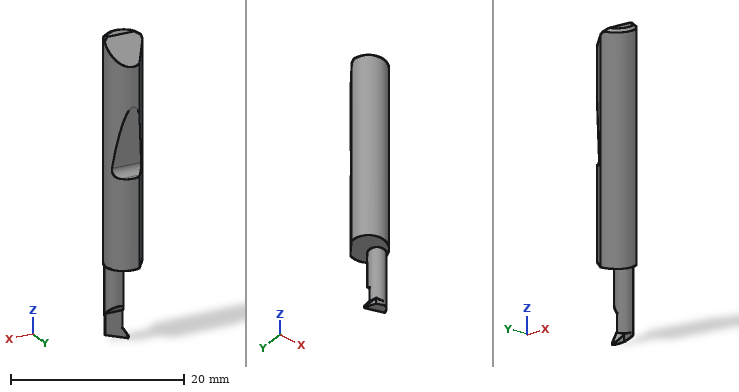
import cadquery as cq

total_length = 38.1
shank_radius = 2.38
shank_bottom = 9.55

end_chamfer_height = 0.4
end_chamfer_width = 0.45
flat_angle = 144.0
flat_distance = 2.02
bevel_edge_y = -0.6
notch_start = 30.05
notch_length = 8.88
notch_tilt = 9.3
notch_corner_radius = 1.0

neck_radius = 1.125
neck_x = shank_radius - neck_radius
neck_relief_top = 4.75

head_height = 1.37
tip_x = -0.57
nose = (-0.7, 0.2)
nose_back = (-0.55, -0.3)
heel_corner = (0.23, -1.05)
flank_slope = 1.6
bottom_slope = 0.33
clearance = (0.45, -1.15, 0.3)

big = 4 * shank_radius
bottom_end = (tip_x + big, bottom_slope * big)


def make_shank():
    shank = (
        cq.Workplane("XY", origin=(0, 0, shank_bottom))
        .circle(shank_radius)
        .extrude(total_length - shank_bottom)
        .faces(">Z")
        .chamfer(end_chamfer_height, end_chamfer_width)
    )

    flat_cutter = (
        cq.Workplane("XY")
        .box(big, big, 2 * total_length, centered=(False, True, True))
        .translate((flat_distance, 0, 0))
        .rotate((0, 0, 0), (0, 0, 1), flat_angle)
    )

    bevel_cutter = (
        cq.Workplane("YZ")
        .moveTo(bevel_edge_y, total_length)
        .lineTo(bevel_edge_y + big, total_length - big)
        .lineTo(bevel_edge_y + big, total_length)
        .close()
        .extrude(big, both=True)
    )

    notch_cutter = (
        cq.Workplane("XY")
        .box(big, big, notch_length, centered=(True, False, False))
        .translate((0, 0, -notch_length))
        .edges("<Y and <Z")
        .fillet(notch_corner_radius)
        .rotate((0, 0, 0), (1, 0, 0), -notch_tilt)
        .translate((0, shank_radius, notch_start))
    )
    return shank.cut(flat_cutter).cut(bevel_cutter).cut(notch_cutter)


def receding_prism(*corners):
    """Sweep an outline in the Y = 0 rake plane along the clearance direction."""
    outline = cq.Wire.makePolygon([cq.Vector(x, 0, z) for x, z in corners], close=True)
    return cq.Workplane(cq.Solid.extrudeLinear(outline, [], cq.Vector(*clearance)))


def make_neck():
    neck = cq.Workplane("XY", origin=(neck_x, 0, 0)).circle(neck_radius).extrude(shank_bottom)

    ramp_bottom = shank_bottom - neck_relief_top - neck_radius
    relief = (
        cq.Workplane("YZ")
        .moveTo(0, 0)
        .lineTo(0, ramp_bottom)
        .lineTo(big, ramp_bottom + big)
        .lineTo(big, 0)
        .close()
        .extrude(big, both=True)
    )

    head_space = (
        cq.Workplane("XY")
        .box(big, big, head_height, centered=(False, True, False))
        .translate((neck_x - big, 0, 0))
    )
    below_bottom = receding_prism((tip_x, 0), bottom_end, (tip_x + big, -big), (tip_x, -big))
    return neck.cut(relief).cut(head_space).cut(below_bottom)


def make_head():
    blank = (
        cq.Workplane("XY")
        .moveTo(nose[0], 0)
        .lineTo(*nose_back)
        .lineTo(*heel_corner)
        .lineTo(neck_x, -neck_radius)
        .lineTo(neck_x, 0)
        .close()
        .extrude(head_height)
    )
    flank_end = (nose[0] + (big - nose[1]) / flank_slope, big)
    envelope = receding_prism((tip_x, 0), bottom_end, (tip_x + big, big), flank_end, nose)
    return blank.intersect(envelope)


cutting_end = make_neck().union(make_head())
result = make_shank().union(cutting_end)